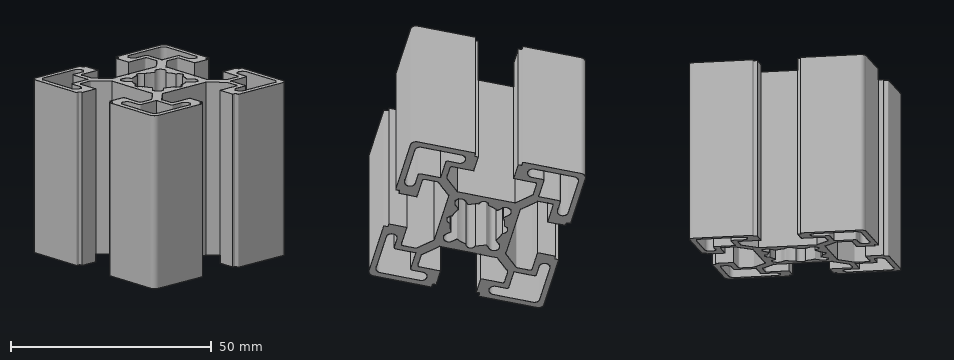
import cadquery as cq
import math

side = 45.0
length = 45.0
half = side / 2
outer_radius = 1.5
inner_bend_radius = 0.5

slot_half_opening = 5.15
step_half_width = 6.05
step_depth = 1.1
step_round = 0.2
lip_thickness = 5.7
slot_half_width = 11.1
core_half = 9.2
spoke_half_offset = 1.75
lip_inner = half - lip_thickness

outer_wall = 1.5
inner_wall = 1.5
chamber_outer = half - outer_wall
chamber_inner = slot_half_width + inner_wall
arm_inner = lip_inner + inner_wall
arm_radius = (chamber_outer - arm_inner) / 2
arm_middle = arm_inner + arm_radius
arm_tip = 8.0
chamber_corner_radius = 1.35

bore_radius = 6.85
groove_radius = 1.2
groove_center = 6.55
lobe_radius = 1.4
lobe_center = 5.8 * math.sqrt(2)
ridge_radius = 0.22

QUARTER_TURNS = (0, 90, 180, 270)


def centered_box(width, y_start, y_end):
    """Full-length box centred on X, spanning y_start to y_end."""
    return (
        cq.Workplane("XY")
        .center(0, (y_start + y_end) / 2)
        .rect(width, y_end - y_start)
        .extrude(length)
    )


def rotated(body, angle):
    return body.rotate((0, 0, 0), (0, 0, 1), angle)


def make_slot():
    """Cutter for the +Y slot: rounded stepped mouth and a cavity with sloped lower sides."""
    slope_top = slot_half_width + spoke_half_offset
    floor_half_width = core_half - spoke_half_offset
    cavity = (
        cq.Workplane("XY")
        .polyline([
            (-slot_half_width, lip_inner),
            (slot_half_width, lip_inner),
            (slot_half_width, slope_top),
            (floor_half_width, core_half),
            (-floor_half_width, core_half),
            (-slot_half_width, slope_top),
        ])
        .close()
        .extrude(length)
        .edges("|Z and (<X or >X)")
        .fillet(inner_bend_radius)
    )
    mouth = centered_box(2 * slot_half_opening, core_half, half)
    step_floor = half - step_depth
    step = centered_box(2 * step_half_width, step_floor, half).edges("|Z and <Y").fillet(step_round)
    flare = centered_box(2 * (step_half_width + step_round), half - step_round, half)
    for x_sign in (-1, 1):
        rounding = (
            cq.Workplane("XY")
            .center(x_sign * (step_half_width + step_round), half - step_round)
            .circle(step_round)
            .extrude(length)
        )
        flare = flare.cut(rounding)
    return cavity.union(mouth).union(step).union(flare)


def make_chamber():
    """Cutter for the L-shaped hollow in the +X +Y corner, with round arm ends."""
    arm_start = arm_tip + arm_radius
    chamber = (
        cq.Workplane("XY")
        .moveTo(arm_start, chamber_outer)
        .lineTo(chamber_outer, chamber_outer)
        .lineTo(chamber_outer, arm_start)
        .threePointArc((arm_middle, arm_tip), (arm_inner, arm_start))
        .lineTo(arm_inner, chamber_inner)
        .lineTo(chamber_inner, chamber_inner)
        .lineTo(chamber_inner, arm_inner)
        .lineTo(arm_start, arm_inner)
        .threePointArc((arm_tip, arm_middle), (arm_start, chamber_outer))
        .close()
        .extrude(length)
    )

    def edge_at(x, y):
        return cq.selectors.NearestToPointSelector((x, y, length / 2))

    chamber = chamber.edges(edge_at(chamber_outer, chamber_outer)).fillet(chamber_corner_radius)
    chamber = chamber.edges(edge_at(arm_inner, chamber_inner)).fillet(inner_bend_radius)
    return chamber.edges(edge_at(chamber_inner, arm_inner)).fillet(inner_bend_radius)


def make_bore():
    """Cutter for the core: round bore, diagonal lobes and a small groove on each axis."""
    bore = cq.Workplane("XY").circle(bore_radius).extrude(length)
    lobe_span = 2 * (lobe_center + lobe_radius)
    for angle in (45, 135):
        lobes = cq.Workplane("XY").slot2D(lobe_span, 2 * lobe_radius, angle).extrude(length)
        bore = bore.union(lobes)
    ridge_along = math.sqrt(bore_radius**2 - lobe_radius**2)
    ridge_near = (ridge_along - lobe_radius) / math.sqrt(2)
    ridge_far = (ridge_along + lobe_radius) / math.sqrt(2)
    for x_sign in (-1, 1):
        for y_sign in (-1, 1):
            for x, y in ((ridge_near, ridge_far), (ridge_far, ridge_near)):
                ridge = cq.selectors.NearestToPointSelector((x_sign * x, y_sign * y, length / 2))
                bore = bore.edges(ridge).fillet(ridge_radius)
    groove = cq.Workplane("XY").center(0, groove_center).circle(groove_radius).extrude(length)
    for angle in QUARTER_TURNS:
        bore = bore.union(rotated(groove, angle))
    return bore


slot = make_slot()
chamber = make_chamber()

result = cq.Workplane("XY").rect(side, side).extrude(length).edges("|Z").fillet(outer_radius)
for turn in QUARTER_TURNS:
    result = result.cut(rotated(slot, turn)).cut(rotated(chamber, turn))
result = result.cut(make_bore())